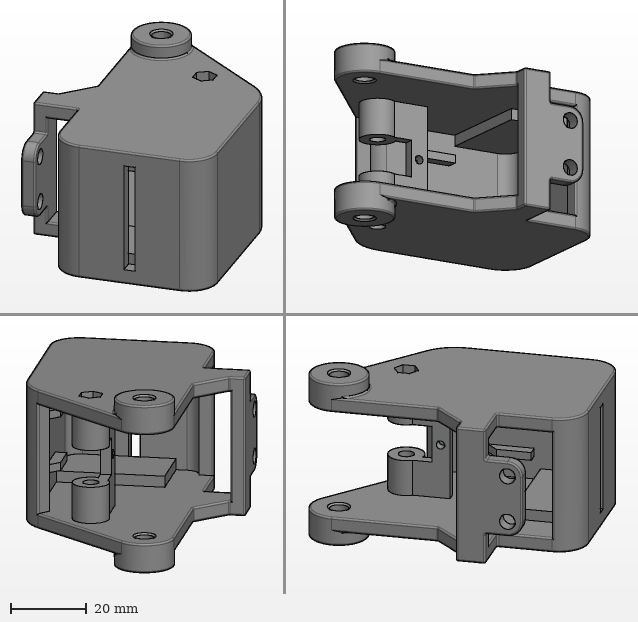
import cadquery as cq
import math


body_width = 44.0
body_length = 76.0
body_height = 38.0
plate = 4.0
wall = 4.0
corner_radius = 8.0
shoulder_radius = 12.9
shoulder_y = 42.25
edge_radius = 0.495
half_body = body_height / 2
half_gap = half_body - plate
join_height = half_body - edge_radius

pivot_x = corner_radius
pivot_y = body_length - corner_radius
overall_height = 46.0
boss_height = (overall_height - body_height) / 2
bore_radius = 2.6

lug_reach = 12.5
lug_low_y = 22.95
lug_high_y = 30.9
brace = 8.1
tab_length = 10.0
lug_thickness = 3.95
tab_width = 21.0
tab_corner = 4.0
tab_hole_radius = 2.1

bolt_x = 24.85
bolt_y = 53.95
bolt_radius = 2.1
nut_flats = 5.7
knuckle_radius = 4.95
partition_x = 20.75
partition_thickness = 3.0
partition_low_y = 41.05
notch_height = 10.1
notch_depth = 8.0
pilot_y = 43.6
pilot_radius = 1.15

slot_x = 20.5
slot_width = 3.1
ledge_x = 10.9
ledge_end_y = 21.2
ledge_height = 3.05
rail_end_y = 35.65
rail_ramp = 3.2
rail_width = 2.2
rail_offset = 7.4

shoulder_x = body_width - shoulder_radius
span_x = shoulder_x - pivot_x
span_y = shoulder_y - pivot_y
slope_angle = math.atan2(span_y, span_x) + math.asin(
    (shoulder_radius - corner_radius) / math.hypot(span_x, span_y)
)
normal_angle = slope_angle + math.pi / 2


def around(center_x, center_y, radius, angle):
    """Point on a circle at an angle from +X."""
    return (center_x + radius * math.cos(angle), center_y + radius * math.sin(angle))


def prism(sketch, low, high):
    """Extrude a closed XY outline between two heights."""
    return sketch.extrude(high - low).translate((0, 0, low))


def block(x0, x1, y0, y1, z0, z1):
    return cq.Workplane("XY").box(x1 - x0, y1 - y0, z1 - z0, centered=False).translate((x0, y0, z0))


def post(x, y, radius, low, high):
    return prism(cq.Workplane("XY").center(x, y).circle(radius), low, high)


def outline():
    """Plate outline, anticlockwise from the front left corner."""
    diagonal = math.radians(45)
    return (
        cq.Workplane("XY")
        .moveTo(corner_radius, 0)
        .lineTo(body_width - corner_radius, 0)
        .threePointArc(
            around(body_width - corner_radius, corner_radius, corner_radius, -diagonal),
            (body_width, corner_radius),
        )
        .lineTo(body_width, shoulder_y)
        .threePointArc(
            around(shoulder_x, shoulder_y, shoulder_radius, normal_angle / 2),
            around(shoulder_x, shoulder_y, shoulder_radius, normal_angle),
        )
        .lineTo(*around(pivot_x, pivot_y, corner_radius, normal_angle))
        .threePointArc(
            around(pivot_x, pivot_y, corner_radius, (normal_angle + math.pi) / 2),
            (0, pivot_y),
        )
        .lineTo(0, lug_high_y + brace)
        .lineTo(-brace, lug_high_y)
        .lineTo(-lug_reach, lug_high_y)
        .lineTo(-lug_reach, lug_low_y)
        .lineTo(0, lug_low_y)
        .lineTo(0, corner_radius)
        .threePointArc(
            around(corner_radius, corner_radius, corner_radius, math.pi + diagonal),
            (corner_radius, 0),
        )
        .close()
    )


def plates():
    """Bottom and top plates, rounded all round."""
    slab = outline().extrude(plate)
    for x, y in [(0, lug_high_y + brace), (-brace, lug_high_y), (0, lug_low_y)]:
        slab = slab.edges(cq.NearestToPointSelector((x, y, plate / 2))).fillet(edge_radius)
    slab = slab.edges("<Z or >Z or (|Z and <X)").fillet(edge_radius)
    return slab.translate((0, 0, -half_body)).union(slab.translate((0, 0, half_gap)))


def outer_wall():
    """Upright wall along the front, the right side and the shoulder."""
    corner_inside = corner_radius - wall
    shoulder_inside = shoulder_radius - wall
    right_corner_x = body_width - corner_radius
    left_corner_mid = math.radians(225)
    right_corner_mid = math.radians(-45)
    shoulder_mid = normal_angle / 2
    section = (
        cq.Workplane("XY")
        .moveTo(0, corner_radius)
        .threePointArc(
            around(corner_radius, corner_radius, corner_radius, left_corner_mid), (corner_radius, 0)
        )
        .lineTo(right_corner_x, 0)
        .threePointArc(
            around(right_corner_x, corner_radius, corner_radius, right_corner_mid),
            (body_width, corner_radius),
        )
        .lineTo(body_width, shoulder_y)
        .threePointArc(
            around(shoulder_x, shoulder_y, shoulder_radius, shoulder_mid),
            around(shoulder_x, shoulder_y, shoulder_radius, normal_angle),
        )
        .lineTo(*around(shoulder_x, shoulder_y, shoulder_inside, normal_angle))
        .threePointArc(
            around(shoulder_x, shoulder_y, shoulder_inside, shoulder_mid),
            (body_width - wall, shoulder_y),
        )
        .lineTo(body_width - wall, corner_radius)
        .threePointArc(
            around(right_corner_x, corner_radius, corner_inside, right_corner_mid),
            (right_corner_x, wall),
        )
        .lineTo(corner_radius, wall)
        .threePointArc(
            around(corner_radius, corner_radius, corner_inside, left_corner_mid),
            (wall, corner_radius),
        )
        .close()
    )
    upright = prism(section, -join_height, join_height)
    for x, y in [(0, corner_radius), around(shoulder_x, shoulder_y, shoulder_radius, normal_angle)]:
        upright = upright.edges(cq.NearestToPointSelector((x, y, 0))).fillet(edge_radius)
    return upright


def lug_bar():
    """Upright bar at the end of the lug, with the rounded screw tab on its front side."""
    inner_x = lug_thickness - lug_reach
    tab_y = lug_low_y - tab_length
    half_tab = tab_width / 2
    bar = block(-lug_reach, inner_x, lug_low_y, lug_high_y, -join_height, join_height)
    ear = block(-lug_reach, inner_x, tab_y, lug_high_y, -half_tab, half_tab)
    ear = ear.edges("|X and <Y").fillet(tab_corner)
    bar = bar.union(ear)
    for z in (-half_tab, half_tab):
        root = ((inner_x - lug_reach) / 2, lug_low_y, z)
        bar = bar.edges(cq.NearestToPointSelector(root)).fillet(edge_radius)
    bar = bar.edges("<X or >X").fillet(edge_radius)
    hole_y = tab_y + tab_corner
    for hole_z in (tab_corner - half_tab, half_tab - tab_corner):
        hole = cq.Workplane("YZ").center(hole_y, hole_z).circle(tab_hole_radius).extrude(lug_thickness)
        bar = bar.cut(hole.translate((-lug_reach, 0, 0)))
    return bar


def pivot_boss():
    """Boss on top of the upper plate, with a rounded rim and a fillet at its foot."""
    rim_z = half_body + boss_height
    boss = post(pivot_x, pivot_y, corner_radius, half_gap + edge_radius, rim_z)
    boss = boss.faces(">Z").edges().fillet(edge_radius)
    foot_radius = corner_radius + edge_radius
    middle = math.sqrt(0.5) * edge_radius
    foot = (
        cq.Workplane("XZ")
        .moveTo(0, half_gap + edge_radius)
        .lineTo(foot_radius, half_gap + edge_radius)
        .lineTo(foot_radius, half_body)
        .threePointArc(
            (foot_radius - middle, half_body + edge_radius - middle),
            (corner_radius, half_body + edge_radius),
        )
        .lineTo(0, half_body + edge_radius)
        .close()
        .revolve(360, (0, 0, 0), (0, 1, 0))
        .translate((pivot_x, pivot_y, 0))
    )
    flat_top = prism(outline().offset2D(-edge_radius), half_gap, rim_z)
    return boss.union(foot.intersect(flat_top))


def pivot_bore():
    """Bore for both bosses, widened by a chamfer at each mouth."""
    boss_top = half_body + boss_height
    bore = post(pivot_x, pivot_y, bore_radius, -boss_top, boss_top)
    mouth = (
        cq.Workplane("XY")
        .circle(bore_radius + edge_radius)
        .workplane(offset=edge_radius)
        .circle(bore_radius)
        .loft()
    )
    for height, turn in [(half_gap, 0), (boss_top, 180)]:
        flared = mouth.rotate((0, 0, 0), (1, 0, 0), turn).translate((pivot_x, pivot_y, height))
        bore = bore.union(flared).union(flared.mirror("XY"))
    return bore


def partition():
    """Thin upright partition ending in the clamp knuckle, notched at mid height."""
    far_x = partition_x + partition_thickness
    web = block(partition_x, far_x, partition_low_y, bolt_y, -half_gap, half_gap)
    upright = web.union(post(bolt_x, bolt_y, knuckle_radius, -half_gap, half_gap))
    notch = block(
        bolt_x - knuckle_radius,
        bolt_x + knuckle_radius,
        bolt_y - notch_depth,
        bolt_y + knuckle_radius,
        -notch_height / 2,
        notch_height / 2,
    )
    pilot = cq.Workplane("YZ").center(pilot_y, 0).circle(pilot_radius).extrude(far_x)
    return upright.cut(notch).cut(pilot)


def ledges():
    """Ledges against both plates behind the slot."""
    ledge = block(ledge_x, body_width - wall, wall, ledge_end_y, half_gap - ledge_height, half_gap)
    return ledge.union(ledge.mirror("XY"))


def rails():
    """Two ribs on the inside of the right wall, each ramped at its rear end."""
    inner_x = body_width - wall
    rail = (
        cq.Workplane("XY")
        .moveTo(inner_x, rail_end_y)
        .lineTo(inner_x - rail_ramp, rail_end_y - rail_ramp)
        .lineTo(inner_x - rail_ramp, lug_low_y)
        .lineTo(inner_x, lug_low_y)
        .close()
    )
    upper = prism(rail, rail_offset - rail_width / 2, rail_offset + rail_width / 2)
    return upper.union(upper.mirror("XY"))


def clamp_bolt():
    """Bolt hole through the knuckle, with a hexagonal nut pocket in the top plate."""
    hole = post(bolt_x, bolt_y, bolt_radius, -half_body, half_body)
    nut = cq.Workplane("XY").polygon(6, nut_flats / math.cos(math.pi / 6)).extrude(plate)
    nut = nut.rotate((0, 0, 0), (0, 0, 1), 30).translate((bolt_x, bolt_y, half_gap))
    return hole.union(nut)


def front_slot():
    """Slot through the front wall over the full inside height."""
    return block(slot_x, slot_x + slot_width, 0, wall, -half_gap, half_gap)


upper_boss = pivot_boss()
result = (
    plates()
    .union(outer_wall())
    .union(lug_bar())
    .union(partition())
    .union(ledges())
    .union(rails())
    .union(upper_boss)
    .union(upper_boss.mirror("XY"))
    .cut(pivot_bore())
    .cut(clamp_bolt())
    .cut(front_slot())
)